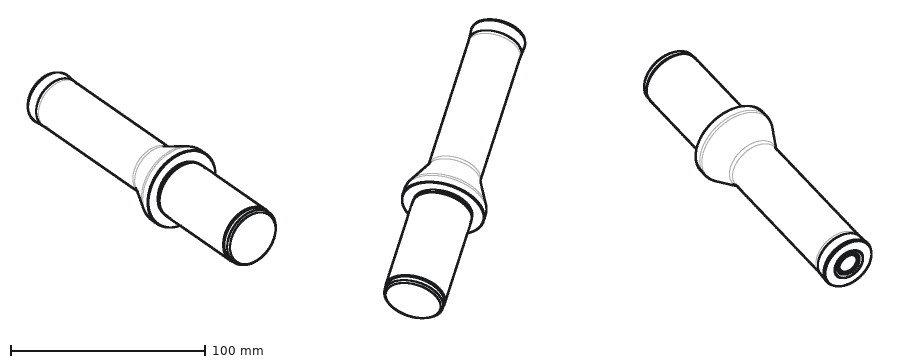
import cadquery as cq

total_length = 174.0
head_length = 7.8
flange_back = 113.6

head_front_radius = 14.1
head_max_radius = 29.0 / 2
head_back_radius = 14.1
face_setback = 0.5
boss_base_setback = 0.2
lead_in_end = 1.5
boss_radius = 8.7
rim_radius = 8.4

dish_floor_radius = 6.8
dish_depth = 0.5
bore_mouth_radius = 5.5
bore_radius = 5.2
bore_depth = 0.9

neck_radius = 28.0 / 2
neck_start = 9.7
cone_start = 91.3
flange_radius = 44.0 / 2
cone_end = 108.4
neck_blend_radius = 5.2
flange_blend_radius = 3.5
flange_chamfer = 0.3

shank_radius = 32.0 / 2
relief_radius = 31.5 / 2
front_relief_length = 1.4
rear_relief_start = 170.5
relief_taper_length = 0.7
shank_chamfer = 1.0


def revolve_about_x(profile):
    """Revolve a closed (axial, radius) outline a full turn about X."""
    return profile.close().revolve(360, (0, 0, 0), (1, 0, 0))


def make_head():
    return revolve_about_x(
        cq.Workplane("XY")
        .moveTo(bore_depth, 0)
        .lineTo(bore_depth, bore_radius)
        .lineTo(dish_depth, bore_mouth_radius)
        .lineTo(dish_depth, dish_floor_radius)
        .lineTo(0, rim_radius)
        .lineTo(boss_base_setback, boss_radius)
        .lineTo(face_setback, head_front_radius)
        .lineTo(lead_in_end, head_max_radius)
        .lineTo(head_length, head_back_radius)
        .lineTo(head_length, 0)
    )


def circle_edges(body, axial, radius):
    """Select the circular edge at the given axial position and radius."""
    reach = 0.09
    return body.edges(
        cq.selectors.BoxSelector(
            (axial - reach, -radius - reach, -radius - reach),
            (axial + reach, radius + reach, radius + reach),
            boundingbox=True,
        )
    )


def make_holder():
    front_relief_end = flange_back + front_relief_length
    holder = revolve_about_x(
        cq.Workplane("XY")
        .moveTo(head_length, 0)
        .lineTo(head_length, head_back_radius)
        .lineTo(neck_start, neck_radius)
        .lineTo(cone_start, neck_radius)
        .lineTo(cone_end, flange_radius)
        .lineTo(flange_back - flange_chamfer, flange_radius)
        .lineTo(flange_back, flange_radius - flange_chamfer)
        .lineTo(flange_back, relief_radius)
        .lineTo(front_relief_end, relief_radius)
        .lineTo(front_relief_end + relief_taper_length, shank_radius)
        .lineTo(rear_relief_start - relief_taper_length, shank_radius)
        .lineTo(rear_relief_start, relief_radius)
        .lineTo(total_length - shank_chamfer, relief_radius)
        .lineTo(total_length, relief_radius - shank_chamfer)
        .lineTo(total_length, 0)
    )
    holder = circle_edges(holder, cone_start, neck_radius).fillet(neck_blend_radius)
    return circle_edges(holder, cone_end, flange_radius).fillet(flange_blend_radius)


head = make_head()
holder = make_holder()

result = cq.Compound.makeCompound([head.val(), holder.val()])